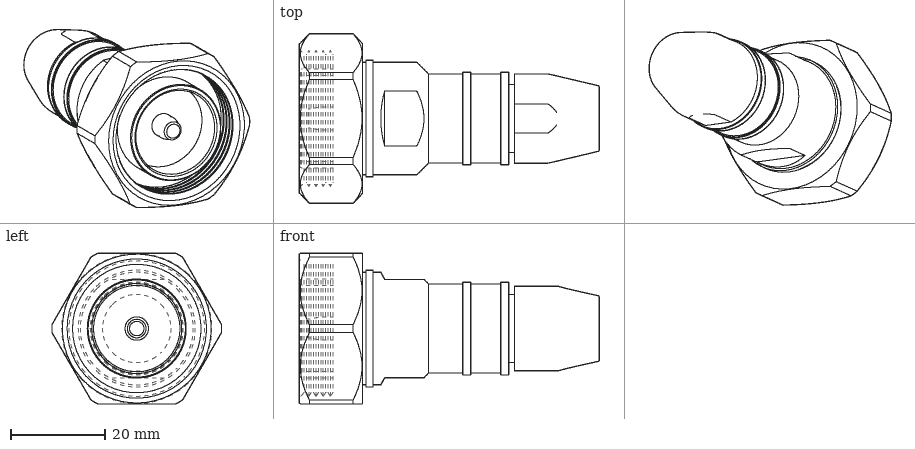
import cadquery as cq
import math

LENGTH = 63.65

NUT_FLATS = 32.0
NUT_CORNER_RADIUS = 18.0
NUT_LENGTH = 13.4
NUT_FRONT_FACE_RADIUS = 15.8
NUT_FRONT_CHAMFER = 2.15
NUT_REAR_FACE_RADIUS = 15.9
NUT_REAR_CHAMFER = 2.0

CAVITY_DEPTH = 7.2
MOUTH_RADIUS = 14.75
THREAD_MINOR_RADIUS = 13.6
THREAD_MAJOR_RADIUS = 14.4
THREAD_PITCH = 1.5
THREAD_COUNT = 4
THREAD_CREST_WIDTH = 0.5
LEAD_IN = 1.0

TUBE_START = 0.25
TUBE_RADIUS = 10.5
TUBE_BORE_RADIUS = 9.15
TUBE_OUTER_CHAMFER = 0.2
TUBE_BORE_CHAMFER = 0.4

PIN_START = 1.65
PIN_RADIUS = 2.5
PIN_TIP_RADIUS = 1.5
PIN_TAPER_RADIUS = 2.0
PIN_TIP_CHAMFER = 0.3
PIN_TAPER_LENGTH = 2.6

BODY_RADIUS = 11.95
BODY_END = 24.95
BODY_EDGE_FILLET = 0.65
LOCK_RING_RADIUS = 12.4
LOCK_RING_START = 14.1
LOCK_RING_END = 15.65
BODY_FLAT_HEIGHT = 10.45
BODY_FLAT_TOP_START = 17.3
BODY_FLAT_START = 18.15

BARREL_RADIUS = 9.5
COLLAR_RADIUS = 9.85
COLLAR_EDGE = 0.1
COLLAR_SPANS = [(34.6, 36.5), (42.65, 44.5)]

NECK_RADIUS = 7.25
TAIL_START = 45.65
TAIL_TAPER_START = 52.8
TAIL_END_RADIUS = 6.95
TAIL_TAPER_FILLET = 1.9
TAIL_END_FILLET = 0.4
TAIL_FLAT_HEIGHT = 9.0

barrel_end = COLLAR_SPANS[-1][1]


def turned(profile):
    """Revolve a closed (x, radius) outline about the X axis."""
    return cq.Workplane("XY").polyline(profile).close().revolve(360, (0, 0, 0), (1, 0, 0))


def cylinder(start, end, radius):
    """Cylinder on the X axis between two stations."""
    return cq.Workplane("YZ").workplane(offset=start).circle(radius).extrude(end - start)


def circular_edge(x, radius):
    """Selector for the circular edge at a station along the X axis."""
    slack = 0.005
    reach = radius + slack
    return cq.selectors.BoxSelector(
        (x - slack, -reach, -reach), (x + slack, reach, reach), boundingbox=True
    )


def make_nut():
    hexagon = (
        cq.Workplane("YZ")
        .polygon(6, NUT_FLATS / math.cos(math.pi / 6))
        .extrude(NUT_LENGTH)
    )
    envelope = turned([
        (0, 0),
        (0, NUT_FRONT_FACE_RADIUS),
        (NUT_FRONT_CHAMFER, NUT_CORNER_RADIUS),
        (NUT_LENGTH - NUT_REAR_CHAMFER, NUT_CORNER_RADIUS),
        (NUT_LENGTH, NUT_REAR_FACE_RADIUS),
        (NUT_LENGTH, 0),
    ])
    return hexagon.intersect(envelope)


def make_cavity():
    """Flared bore whose thread is a row of V-grooves between flat crests."""
    profile = [(0, 0), (0, MOUTH_RADIUS), (LEAD_IN, THREAD_MINOR_RADIUS)]
    for turn in range(THREAD_COUNT):
        crest_start = LEAD_IN + turn * THREAD_PITCH
        crest_end = crest_start + THREAD_CREST_WIDTH
        groove_end = crest_start + THREAD_PITCH
        profile += [
            (crest_end, THREAD_MINOR_RADIUS),
            ((crest_end + groove_end) / 2, THREAD_MAJOR_RADIUS),
            (groove_end, THREAD_MINOR_RADIUS),
        ]
    profile += [(CAVITY_DEPTH, THREAD_MINOR_RADIUS), (CAVITY_DEPTH, 0)]
    return turned(profile)


def make_outer_contact():
    return turned([
        (CAVITY_DEPTH, TUBE_BORE_RADIUS),
        (TUBE_START + TUBE_BORE_CHAMFER, TUBE_BORE_RADIUS),
        (TUBE_START, TUBE_BORE_RADIUS + TUBE_BORE_CHAMFER),
        (TUBE_START, TUBE_RADIUS - TUBE_OUTER_CHAMFER),
        (TUBE_START + TUBE_OUTER_CHAMFER, TUBE_RADIUS),
        (CAVITY_DEPTH, TUBE_RADIUS),
    ])


def make_pin():
    return turned([
        (PIN_START, 0),
        (PIN_START, PIN_TIP_RADIUS),
        (PIN_START + PIN_TIP_CHAMFER, PIN_TAPER_RADIUS),
        (PIN_START + PIN_TIP_CHAMFER + PIN_TAPER_LENGTH, PIN_RADIUS),
        (CAVITY_DEPTH, PIN_RADIUS),
        (CAVITY_DEPTH, 0),
    ])


def make_body():
    """Wrench body: a cylinder with a 45 degree shoulder down to the barrel, and two flats."""
    shoulder_end = BODY_END + BODY_RADIUS - BARREL_RADIUS
    body = turned([
        (NUT_LENGTH, 0),
        (NUT_LENGTH, BODY_RADIUS),
        (BODY_END, BODY_RADIUS),
        (shoulder_end, BARREL_RADIUS),
        (shoulder_end, 0),
    ])
    body = body.edges(circular_edge(BODY_END, BODY_RADIUS)).fillet(BODY_EDGE_FILLET)
    flat_cut = (
        cq.Workplane("XZ")
        .polyline([
            (BODY_FLAT_TOP_START, BODY_RADIUS),
            (BODY_FLAT_START, BODY_FLAT_HEIGHT),
            (shoulder_end, BODY_FLAT_HEIGHT),
            (shoulder_end, BODY_RADIUS),
        ])
        .close()
        .extrude(BODY_RADIUS, both=True)
    )
    body = body.cut(flat_cut).cut(flat_cut.mirror("XY"))
    return body.union(cylinder(LOCK_RING_START, LOCK_RING_END, LOCK_RING_RADIUS))


def make_barrel():
    barrel = cylinder(BODY_END, barrel_end, BARREL_RADIUS)
    for start, end in COLLAR_SPANS:
        collar = cylinder(start, end, COLLAR_RADIUS).edges().chamfer(COLLAR_EDGE)
        barrel = barrel.union(collar)
    return barrel.union(cylinder(barrel_end, TAIL_START, NECK_RADIUS))


def make_tail():
    """Tapered clamping tail with two flats."""
    tail = turned([
        (TAIL_START, 0),
        (TAIL_START, BARREL_RADIUS),
        (TAIL_TAPER_START, BARREL_RADIUS),
        (LENGTH, TAIL_END_RADIUS),
        (LENGTH, 0),
    ])
    tail = tail.edges(circular_edge(TAIL_TAPER_START, BARREL_RADIUS)).fillet(TAIL_TAPER_FILLET)
    tail = tail.edges(circular_edge(LENGTH, TAIL_END_RADIUS)).fillet(TAIL_END_FILLET)
    flats = (
        cq.Workplane("YZ")
        .workplane(offset=TAIL_START)
        .rect(2 * BARREL_RADIUS, 2 * TAIL_FLAT_HEIGHT)
        .extrude(LENGTH - TAIL_START)
    )
    return tail.intersect(flats)


result = (
    make_nut()
    .cut(make_cavity())
    .union(make_outer_contact())
    .union(make_pin())
    .union(make_body())
    .union(make_barrel())
    .union(make_tail())
)